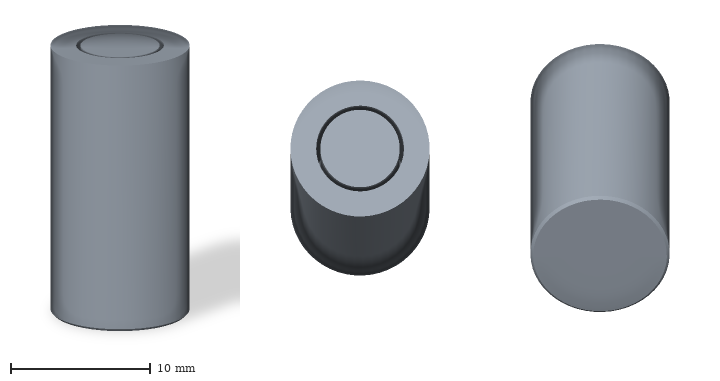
import cadquery as cq

housing_diameter = 10.0
housing_height = 20.0
base_chamfer = 0.2

core_diameter = 5.7
radial_gap = 0.3
bore_diameter = core_diameter + 2 * radial_gap
bore_depth = housing_height / 2
bore_floor = housing_height - bore_depth


def make_housing():
    """Cylinder with a chamfered bottom edge and a blind bore in its top face."""
    body = cq.Workplane("XY").circle(housing_diameter / 2).extrude(housing_height)
    body = body.faces("<Z").edges().chamfer(base_chamfer)
    bore = cq.Workplane("XY").workplane(offset=bore_floor).circle(bore_diameter / 2).extrude(bore_depth)
    return body.cut(bore)


def make_core():
    """Plain round core resting on the bore floor, flush with the housing top."""
    return cq.Workplane("XY").workplane(offset=bore_floor).circle(core_diameter / 2).extrude(bore_depth)


housing = make_housing()
core = make_core()

result = cq.Compound.makeCompound([housing.val(), core.val()])